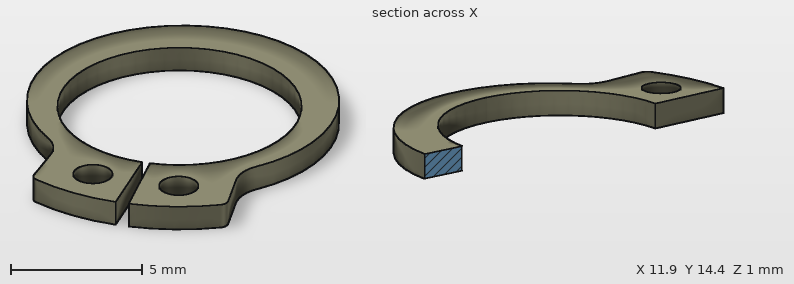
import cadquery as cq
import math

overall_length = 14.4
thickness = 1.0
bore_radius = 4.65
rim_radius = 5.95
rim_offset = 0.49

lug_half_width = 3.85
lug_width_y = -6.77
lug_side_slope = 0.1
lug_root_y = -2.88
lug_base_y = -8.64
lug_root_fillet = 1.53
lug_corner_fillet = 0.36

hole_radius = 0.75
hole_x = 1.7
hole_y = -6.08
gap_half_angle = math.radians(1.87)

lug_tip_radius = (overall_length - rim_radius - rim_offset) / math.cos(gap_half_angle)


def disk(radius, center_y=0):
    return cq.Workplane("XY").center(0, center_y).circle(radius).extrude(thickness)


def half_width(y):
    return lug_half_width + lug_side_slope * (lug_width_y - y)


def lug_block():
    """Both lugs as one flared block, ended by the tip arc."""
    root = half_width(lug_root_y)
    base = half_width(lug_base_y)
    outline = [(-root, lug_root_y), (root, lug_root_y), (base, lug_base_y), (-base, lug_base_y)]
    block = cq.Workplane("XY").polyline(outline).close().extrude(thickness)
    return block.intersect(disk(lug_tip_radius))


def gap_wedge():
    """Gap between the lugs, with both faces radial to the bore axis."""
    half_base = -lug_base_y * math.tan(gap_half_angle)
    outline = [(0, 0), (half_base, lug_base_y), (-half_base, lug_base_y)]
    return cq.Workplane("XY").polyline(outline).close().extrude(thickness)


def edges_between(body, low_y, high_y):
    """Upright edges in a band of Y."""
    box = cq.selectors.BoxSelector(
        (-rim_radius, low_y, 0), (rim_radius, high_y, thickness)
    )
    return body.edges("|Z").edges(box)


body = disk(rim_radius, rim_offset).union(lug_block())
body = edges_between(body, hole_y, lug_root_y).fillet(lug_root_fillet)
body = edges_between(body, lug_base_y, hole_y).fillet(lug_corner_fillet)

body = body.cut(disk(bore_radius)).cut(gap_wedge())
holes = (
    cq.Workplane("XY")
    .pushPoints([(-hole_x, hole_y), (hole_x, hole_y)])
    .circle(hole_radius)
    .extrude(thickness)
)
result = body.cut(holes)